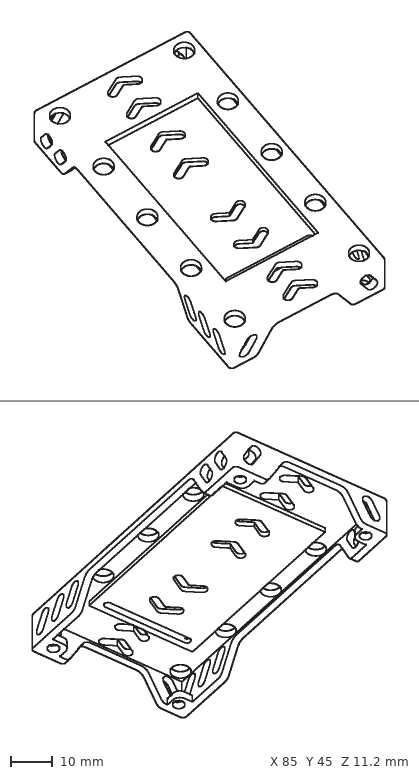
import cadquery as cq
import math

length = 85
width = 45.0
height = 11.2
plate_thickness = 2.0
wall_thickness = 2.0
edge_radius = 1.0
lean = math.radians(60)

arch_rise = 8.5
arch_top_radius = 2.55
leg_tip_radius = 1.9
front_arch_left = -29.4
front_arch_right = 24.3
side_arch_front = -14.9
side_arch_rear = 12.75

tray_left = -24.8
tray_right = 26.8
tray_width = 26.7
tray_depth = 1.95
tray_outer_depth = 3.3
tray_rim = 1.8
tray_slot_width = 1.95
tray_slot_length = 25.1

plate_hole_diameter = 5.0
plate_hole_columns = 5
plate_hole_row_length = 75.0
plate_hole_y = 17.9

foot_thickness = 2.0
foot_length = 6.4
front_foot_width = 6.3
rear_foot_width = 7.1
foot_radius = 1.95
foot_hole_diameter = 3.0
foot_hole_x = 38.85
foot_hole_y = 18.4

slot_diameter = 3.0
slot_centre_distance = 4.0
slot_z = 5.6
front_slots_left = [-36.55, -30.6]
front_slots_right = [25.2, 31.2, 37.5]
side_slot_y = 17.4

chevron_diameter = 2.4
chevron_arm = 4.1
left_chevron_tips = [-39.4, -31.45, -21.1, -11.1, 29.0, 35.7]
right_chevron_tips = [11.1, 21.1]


def block(x_min, x_max, y_min, y_max, z_min, z_max):
    """Box given by its limits."""
    size = (x_max - x_min, y_max - y_min, z_max - z_min)
    return cq.Workplane("XY").box(*size, centered=False).translate((x_min, y_min, z_min))


def make_shell():
    """Rounded box, open at the bottom."""
    outer = cq.Workplane("XY").box(length, width, height, centered=(True, True, False))
    outer = outer.edges("|Z or >Z").fillet(edge_radius)
    inside = cq.Workplane("XY").box(
        length - 2 * wall_thickness,
        width - 2 * wall_thickness,
        height - plate_thickness,
        centered=(True, True, False),
    )
    return outer.cut(inside)


def arch_cutter(plane, start, end):
    """Trapezoidal tunnel with rounded top corners, flared at the bottom to round the leg tips."""
    slope_run = arch_rise / math.tan(lean)
    tip_length = leg_tip_radius * math.tan(lean / 2)
    tip_run = tip_length * math.cos(lean)
    tip_rise = tip_length * math.sin(lean)
    mid_run = leg_tip_radius * math.sin(lean / 2) - tip_length
    mid_rise = leg_tip_radius * (1 - math.cos(lean / 2))
    arch = (
        cq.Workplane(plane)
        .moveTo(start - tip_length, 0)
        .threePointArc((start + mid_run, mid_rise), (start + tip_run, tip_rise))
        .lineTo(start + slope_run, arch_rise)
        .lineTo(end - slope_run, arch_rise)
        .lineTo(end - tip_run, tip_rise)
        .threePointArc((end - mid_run, mid_rise), (end + tip_length, 0))
        .close()
        .extrude(length, both=True)
    )
    through_edges = "|Y" if plane == "XZ" else "|X"
    return arch.faces(">Z").edges(through_edges).fillet(arch_top_radius)


def leg_slot(plane, center):
    """Slot through opposite legs; its top leans towards the middle of the part."""
    angle = math.degrees(lean) if center < 0 else -math.degrees(lean)
    return (
        cq.Workplane(plane)
        .center(center, slot_z)
        .slot2D(slot_centre_distance + slot_diameter, slot_diameter, angle)
        .extrude(length, both=True)
    )


def foot(x_side, y_side, foot_width):
    """Pad in one bottom corner with a screw hole."""
    inner_x = length / 2 - foot_length
    inner_y = width / 2 - foot_width
    pad = block(inner_x, length / 2 - edge_radius, inner_y, width / 2 - edge_radius, 0, foot_thickness)
    pad = pad.edges("|Z and <X and <Y").fillet(foot_radius)
    hole = cq.Workplane("XY").center(foot_hole_x, foot_hole_y)
    hole = hole.circle(foot_hole_diameter / 2).extrude(foot_thickness)
    pad = pad.cut(hole)
    if x_side < 0:
        pad = pad.mirror("YZ")
    if y_side < 0:
        pad = pad.mirror("XZ")
    return pad


def chevron(tip, direction):
    """V-shaped opening with its tip towards direction (-1 or 1) along X."""
    vertex = tip - direction * chevron_diameter / 2
    opening = cq.Workplane("XY").center(vertex, 0).circle(chevron_diameter / 2).extrude(height)
    half_run = chevron_arm / 2 * math.cos(lean)
    half_rise = chevron_arm / 2 * math.sin(lean)
    for side in (-1, 1):
        angle = -direction * side * math.degrees(lean)
        arm = (
            cq.Workplane("XY")
            .center(vertex - direction * half_run, side * half_rise)
            .slot2D(chevron_arm + chevron_diameter, chevron_diameter, angle)
            .extrude(height)
        )
        opening = opening.union(arm)
    return opening


body = make_shell()

body = body.cut(arch_cutter("XZ", front_arch_left, front_arch_right))
body = body.cut(arch_cutter("YZ", side_arch_front, side_arch_rear))
for x in front_slots_left + front_slots_right:
    body = body.cut(leg_slot("XZ", x))
for y in (-side_slot_y, side_slot_y):
    body = body.cut(leg_slot("YZ", y))

tray_half = tray_width / 2
body = body.union(
    block(
        tray_left - tray_rim,
        tray_right + tray_rim,
        -tray_half - tray_rim,
        tray_half + tray_rim,
        height - tray_outer_depth,
        height - plate_thickness,
    )
)
body = body.cut(block(tray_left, tray_right, -tray_half, tray_half, height - tray_depth, height))
tray_slot = (
    cq.Workplane("XY")
    .center(tray_right - tray_slot_width / 2, 0)
    .slot2D(tray_slot_length, tray_slot_width, 90)
    .extrude(height)
)
body = body.cut(tray_slot)

plate_holes = (
    cq.Workplane("XY")
    .rarray(plate_hole_row_length / (plate_hole_columns - 1), 2 * plate_hole_y, plate_hole_columns, 2)
    .circle(plate_hole_diameter / 2)
    .extrude(height)
)
body = body.cut(plate_holes)
for tip in left_chevron_tips:
    body = body.cut(chevron(tip, -1))
for tip in right_chevron_tips:
    body = body.cut(chevron(tip, 1))

for x_side in (-1, 1):
    body = body.union(foot(x_side, -1, front_foot_width))
    body = body.union(foot(x_side, 1, rear_foot_width))

result = body